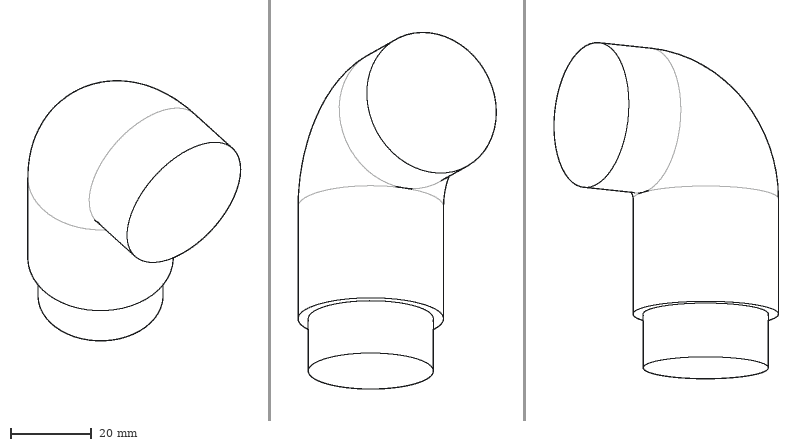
import cadquery as cq

body_diameter = 36.0
spigot_diameter = 31.0
spigot_length = 13.5
total_height = 78.5
total_width = 51.0

body_radius = body_diameter / 2
bend_start_z = total_height - body_diameter
sleeve_length = bend_start_z - spigot_length
outlet_length = total_width - body_diameter

spigot = cq.Workplane("XY").circle(spigot_diameter / 2).extrude(spigot_length)
sleeve = (
    cq.Workplane("XY")
    .workplane(offset=spigot_length)
    .circle(body_radius)
    .extrude(sleeve_length)
)

bend = (
    cq.Workplane("XY")
    .workplane(offset=bend_start_z)
    .circle(body_radius)
    .revolve(90, (body_radius, 0, 0), (body_radius, 1, 0))
)

outlet = (
    cq.Workplane("YZ")
    .workplane(offset=body_radius)
    .center(0, bend_start_z + body_radius)
    .circle(body_radius)
    .extrude(outlet_length)
)

result = spigot.union(sleeve).union(bend).union(outlet)